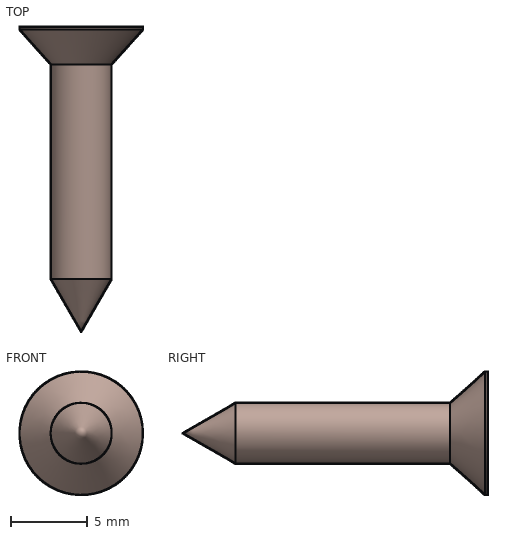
import cadquery as cq
import math

total_length = 20.0
head_diameter = 8.1
shank_diameter = 4.0
rim_thickness = 0.2
head_height = 2.48
point_angle = 60.0

head_radius = head_diameter / 2
shank_radius = shank_diameter / 2
point_length = shank_radius / math.tan(math.radians(point_angle / 2))

result = (
    cq.Workplane("XY")
    .moveTo(0, 0)
    .lineTo(head_radius, 0)
    .lineTo(head_radius, -rim_thickness)
    .lineTo(shank_radius, -head_height)
    .lineTo(shank_radius, point_length - total_length)
    .lineTo(0, -total_length)
    .close()
    .revolve(360, (0, 0, 0), (0, 1, 0))
)